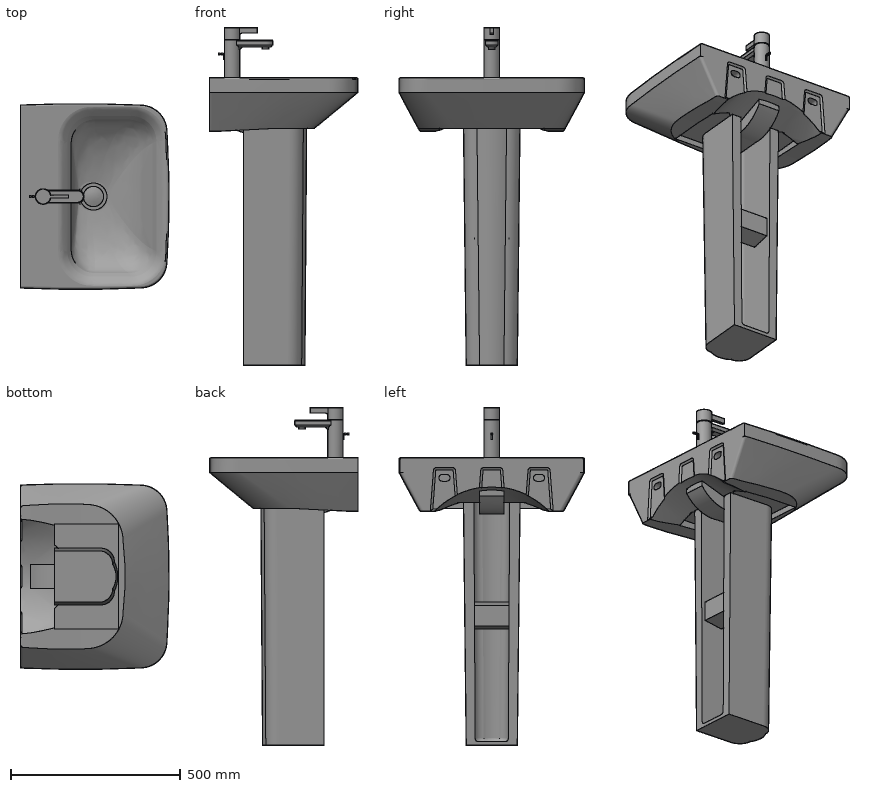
import cadquery as cq
import math


RIM_Z = 851.0
APRON_BOTTOM_Z = 807.0
BASIN_BOTTOM_Z = 692.0
BASIN_DEPTH = 439.0
BASIN_HALF_WIDTH = 275.0
APRON_CORNER = 80.0
APRON_FRONT_BOW = 6.0
APRON_SIDE_BOW = 4.0
FOOT_DEPTH = 300.0
FOOT_HALF_WIDTH = 213.0
FOOT_CORNER = 110.0
RIM_EDGE_RADIUS = 6.0
HULL_BACK_EDGE_RADIUS = 8.0
SLOPE_START_X = 30.0
SLOPE_END_X = 180.0
FRONT_UNDERSIDE_Z = 700.0

LIP_LEVEL = (RIM_Z, 112.0, 431.0, 265.0, 100.0)
ROLL_LEVEL = (846.0, 126.0, 418.0, 254.0, 90.0)
WALL_TOP_LEVEL = (832.0, 140.0, 402.0, 238.0, 75.0)
WALL_BOTTOM_LEVEL = (815.0, 150.0, 391.0, 227.0, 70.0)
BOWL_MIDDLE_LEVEL = (759.0, 160.0, 335.0, 170.0, 60.0)
BOWL_FLOOR_LEVEL = (727.0, 173.0, 259.0, 43.0, 35.0)

ARCH_HALF_WIDTH = 170.0
ARCH_TOP_Z = 765.0
HOLLOW_FRONT_HALF_WIDTH = 155.0
PEDESTAL_TOP_Z = 718.0
POCKET_FRONT_X = 290.0
RAMP_END_X = 140.0
DUCT_HALF_WIDTH = 36.0
DUCT_BACK_X = 30.0
DUCT_FRONT_X = 245.0
DUCT_TOP_Z = 774.0
DUCT_BEND_TOP_Z = 737.0
DUCT_BEND_MIDDLE = (66.0, 703.0)
DUCT_BEND_END_X = 150.0
DUCT_BOTTOM_Z = 685.0

RECESS_SPACING = 140.0
RECESS_TOP_Z = 822.0
RECESS_TOP_HALF_WIDTH = 32.0
RECESS_BOTTOM_HALF_WIDTH = 42.0
RECESS_CORNER = 10.0
RECESS_DEPTH = 4.0
RECESS_TAPER = 60.0
BOLT_SLOT_Z = 791.0
BOLT_SLOT_LENGTH = 33.0
BOLT_SLOT_DIAMETER = 20.0
BOLT_SLOT_DEPTH = 30.0

PEDESTAL_BACK_X = 100.0
PEDESTAL_TOP_FRONT_X = 288.0
PEDESTAL_BASE_FRONT_X = 283.0
PEDESTAL_TOP_HALF_WIDTH = 84.0
PEDESTAL_BASE_HALF_WIDTH = 76.0
PEDESTAL_CORNER = 40.0
PEDESTAL_FRONT_BOW = 10.0
CAVITY_TOP_HALF_WIDTH = 53.0
CAVITY_BASE_HALF_WIDTH = 49.0
CAVITY_CORNER = 26.0
CAVITY_FRONT_BOW = 5.0
FRONT_WALL = 30.0
PEDESTAL_FLOOR = 11.0
CAVITY_FLOOR_RADIUS = 10.0
BRIDGE_BACK_X = 113.0
BRIDGE_FRONT_X = 175.0
BRIDGE_MIDDLE_Z = 384.0
BRIDGE_BACK_HEIGHT = 60.0
BRIDGE_FRONT_HEIGHT = 80.0

FAUCET_X = 67.0
FAUCET_DIAMETER = 46.0
NECK_DIAMETER = 44.0
NECK_HEIGHT = 2.0
HANDLE_BASE_Z = 964.0
FAUCET_TOP_Z = 999.0
SPOUT_TOP_Z = 962.0
SPOUT_BOTTOM_Z = 941.0
SPOUT_TIP_X = 188.0
SPOUT_WIDTH = 38.0
SPOUT_TOP_CHAMFER = 2.0
SPOUT_BOTTOM_CHAMFER = 7.0
GUSSET_SIZE = 7.0
GUSSET_WIDTH = 20.0
AERATOR_X = 166.0
AERATOR_DIAMETER = 20.0
AERATOR_BOTTOM_Z = 935.0
AERATOR_SOCKET = 5.0
LEVER_TIP_X = 142.0
LEVER_WIDTH = 9.0
LEVER_HEIGHT = 16.0
LEVER_ROOT_LENGTH = 6.0
LEVER_ROOT_HEIGHT = 20.0

ROD_Z = 921.0
ROD_DIAMETER = 4.0
ROD_BACK_X = 26.0
ROD_SOCKET = 5.0
KNOB_DIAMETER = 6.0
KNOB_LENGTH = 5.0
COLLAR_X = 35.0
ROD_TAIL_LENGTH = 16.0

DRAIN_X = 216.0
FLANGE_DIAMETER = 80.0
FLANGE_THICKNESS = 6.0
PLUG_DIAMETER = 60.0
PLUG_SEAT_DEPTH = 3.0
PLUG_DOME_HEIGHT = 5.0


def rod_along_x(back_x, length, diameter):
    """Round bar on the pull rod axis."""
    return (cq.Workplane("YZ", origin=(back_x, 0, ROD_Z))
            .circle(diameter / 2).extrude(length))


def disc(center_x, bottom_z, diameter, height):
    """Upright cylinder on the symmetry plane."""
    return (cq.Workplane("XY", origin=(center_x, 0, bottom_z))
            .circle(diameter / 2).extrude(height))


def symmetric_block(profile, half_width):
    """Extrude an XZ profile equally to both sides of Y = 0."""
    return profile.extrude(half_width, both=True)


def front_rounded_outline(plane, back_x, front_x, half_width, corner, front_bow, side_bow=0.0):
    """Outline with a straight back, bowed front and two round front corners."""
    side_y = half_width - side_bow
    corner_start_x = front_x - front_bow - corner
    corner_end_x = front_x - front_bow
    corner_end_y = side_y - corner
    diagonal = corner * math.sqrt(0.5)
    corner_mid = (corner_start_x + diagonal, corner_end_y + diagonal)
    side_mid_x = (back_x + corner_start_x) / 2

    outline = plane.moveTo(back_x, -side_y)
    if side_bow:
        outline = outline.threePointArc((side_mid_x, -half_width), (corner_start_x, -side_y))
    else:
        outline = outline.lineTo(corner_start_x, -side_y)
    outline = (outline
               .threePointArc((corner_mid[0], -corner_mid[1]), (corner_end_x, -corner_end_y))
               .threePointArc((front_x, 0), (corner_end_x, corner_end_y))
               .threePointArc(corner_mid, (corner_start_x, side_y)))
    if side_bow:
        outline = outline.threePointArc((side_mid_x, half_width), (back_x, side_y))
    else:
        outline = outline.lineTo(back_x, side_y)
    return outline.close()


def bowl_section(levels, ruled):
    """Loft through rounded rectangles, one per bowl level."""
    sketches = []
    for z, back_x, front_x, half_width, corner in levels:
        sketch = cq.Sketch().rect(front_x - back_x, 2 * half_width).vertices().fillet(corner)
        sketches.append(sketch.moved(cq.Location(cq.Vector((back_x + front_x) / 2, 0, z))))
    return cq.Workplane("XY").placeSketch(*sketches).loft(ruled=ruled)


def basin_shell():
    """Apron over a hull that narrows to the foot, with a gently rising underside."""
    apron_sizes = (0, BASIN_DEPTH, BASIN_HALF_WIDTH, APRON_CORNER, APRON_FRONT_BOW, APRON_SIDE_BOW)
    foot_sizes = (0, FOOT_DEPTH, FOOT_HALF_WIDTH, FOOT_CORNER, APRON_FRONT_BOW, APRON_SIDE_BOW)
    apron_plane = cq.Workplane("XY").workplane(offset=APRON_BOTTOM_Z)
    apron = front_rounded_outline(apron_plane, *apron_sizes).extrude(RIM_Z - APRON_BOTTOM_Z)
    apron = apron.faces(">Z").edges("not <X").fillet(RIM_EDGE_RADIUS)

    foot_plane = cq.Workplane("XY").workplane(offset=BASIN_BOTTOM_Z)
    hull = front_rounded_outline(foot_plane, *foot_sizes)
    hull = hull.workplane(offset=APRON_BOTTOM_Z - BASIN_BOTTOM_Z)
    hull = front_rounded_outline(hull, *apron_sizes).loft(ruled=True)

    rise = (cq.Workplane("XZ")
            .moveTo(SLOPE_START_X, BASIN_BOTTOM_Z)
            .lineTo(SLOPE_END_X, FRONT_UNDERSIDE_Z)
            .lineTo(BASIN_DEPTH, FRONT_UNDERSIDE_Z)
            .lineTo(BASIN_DEPTH, BASIN_BOTTOM_Z)
            .close())
    hull = hull.cut(symmetric_block(rise, BASIN_HALF_WIDTH))
    hull = hull.faces("<X").edges("not |Y").fillet(HULL_BACK_EDGE_RADIUS)
    return apron.union(hull)


def underside_hollow():
    """Arch open to the back whose ceiling ramps down to the flat pedestal pocket."""
    ramp = (cq.Workplane("YZ")
            .moveTo(-ARCH_HALF_WIDTH, BASIN_BOTTOM_Z)
            .threePointArc((0, ARCH_TOP_Z), (ARCH_HALF_WIDTH, BASIN_BOTTOM_Z))
            .close()
            .workplane(offset=RAMP_END_X)
            .moveTo(-HOLLOW_FRONT_HALF_WIDTH, BASIN_BOTTOM_Z)
            .threePointArc((0, PEDESTAL_TOP_Z), (HOLLOW_FRONT_HALF_WIDTH, BASIN_BOTTOM_Z))
            .close()
            .loft(ruled=True))
    pocket = (cq.Workplane("XZ")
              .moveTo(PEDESTAL_BACK_X, BASIN_BOTTOM_Z)
              .lineTo(PEDESTAL_BACK_X, PEDESTAL_TOP_Z)
              .lineTo(POCKET_FRONT_X, PEDESTAL_TOP_Z)
              .lineTo(POCKET_FRONT_X, BASIN_BOTTOM_Z)
              .close())
    return ramp.union(symmetric_block(pocket, HOLLOW_FRONT_HALF_WIDTH))


def overflow_duct():
    """Duct that drops from the arch ceiling and bends forward below the drain."""
    profile = (cq.Workplane("XZ")
               .moveTo(DUCT_BACK_X, DUCT_TOP_Z)
               .lineTo(DUCT_BACK_X, DUCT_BEND_TOP_Z)
               .threePointArc(DUCT_BEND_MIDDLE, (DUCT_BEND_END_X, DUCT_BOTTOM_Z))
               .lineTo(DUCT_FRONT_X, DUCT_BOTTOM_Z)
               .lineTo(DUCT_FRONT_X, DUCT_TOP_Z)
               .close())
    return symmetric_block(profile, DUCT_HALF_WIDTH)


def back_recess(center_y):
    """Shallow tapered recess in the back face, open at the bottom."""
    outline = cq.Sketch().polygon([
        (center_y - RECESS_BOTTOM_HALF_WIDTH, BASIN_BOTTOM_Z),
        (center_y - RECESS_TOP_HALF_WIDTH, RECESS_TOP_Z),
        (center_y + RECESS_TOP_HALF_WIDTH, RECESS_TOP_Z),
        (center_y + RECESS_BOTTOM_HALF_WIDTH, BASIN_BOTTOM_Z),
        (center_y - RECESS_BOTTOM_HALF_WIDTH, BASIN_BOTTOM_Z),
    ])
    outline = outline.vertices(">Y").fillet(RECESS_CORNER)
    return cq.Workplane("YZ").placeSketch(outline).extrude(RECESS_DEPTH, taper=RECESS_TAPER)


def bolt_slot(center_y):
    """Horizontal slot for a wall bolt."""
    return (cq.Workplane("YZ")
            .center(center_y, BOLT_SLOT_Z)
            .slot2D(BOLT_SLOT_LENGTH, BOLT_SLOT_DIAMETER)
            .extrude(BOLT_SLOT_DEPTH))


def make_basin():
    basin = basin_shell().cut(underside_hollow()).union(overflow_duct())
    basin = basin.cut(bowl_section([LIP_LEVEL, ROLL_LEVEL, WALL_TOP_LEVEL], ruled=False))
    basin = basin.cut(bowl_section([WALL_TOP_LEVEL, WALL_BOTTOM_LEVEL], ruled=True))
    basin = basin.cut(bowl_section([WALL_BOTTOM_LEVEL, BOWL_MIDDLE_LEVEL, BOWL_FLOOR_LEVEL], ruled=False))
    for center_y in (-RECESS_SPACING, 0, RECESS_SPACING):
        basin = basin.cut(back_recess(center_y))
    for center_y in (-RECESS_SPACING, RECESS_SPACING):
        basin = basin.cut(bolt_slot(center_y))
    flange_seat = disc(DRAIN_X, BOWL_FLOOR_LEVEL[0] - FLANGE_THICKNESS, FLANGE_DIAMETER, FLANGE_THICKNESS)
    return basin.cut(flange_seat)


def make_pedestal():
    """Tapered column, open at the back and top, with a bridge between its side walls."""
    column = front_rounded_outline(cq.Workplane("XY"), PEDESTAL_BACK_X, PEDESTAL_BASE_FRONT_X,
                                   PEDESTAL_BASE_HALF_WIDTH, PEDESTAL_CORNER, PEDESTAL_FRONT_BOW)
    column = column.workplane(offset=PEDESTAL_TOP_Z)
    column = front_rounded_outline(column, PEDESTAL_BACK_X, PEDESTAL_TOP_FRONT_X,
                                   PEDESTAL_TOP_HALF_WIDTH, PEDESTAL_CORNER, PEDESTAL_FRONT_BOW)
    column = column.loft(ruled=True)

    cavity = cq.Workplane("XY").workplane(offset=PEDESTAL_FLOOR)
    cavity = front_rounded_outline(cavity, PEDESTAL_BACK_X, PEDESTAL_BASE_FRONT_X - FRONT_WALL,
                                   CAVITY_BASE_HALF_WIDTH, CAVITY_CORNER, CAVITY_FRONT_BOW)
    cavity = cavity.workplane(offset=PEDESTAL_TOP_Z - PEDESTAL_FLOOR)
    cavity = front_rounded_outline(cavity, PEDESTAL_BACK_X, PEDESTAL_TOP_FRONT_X - FRONT_WALL,
                                   CAVITY_TOP_HALF_WIDTH, CAVITY_CORNER, CAVITY_FRONT_BOW)
    cavity = cavity.loft(ruled=True)
    cavity = cavity.faces("<Z").edges("not <X").fillet(CAVITY_FLOOR_RADIUS)

    bridge = (cq.Workplane("XZ")
              .moveTo(BRIDGE_BACK_X, BRIDGE_MIDDLE_Z - BRIDGE_BACK_HEIGHT / 2)
              .lineTo(BRIDGE_BACK_X, BRIDGE_MIDDLE_Z + BRIDGE_BACK_HEIGHT / 2)
              .lineTo(BRIDGE_FRONT_X, BRIDGE_MIDDLE_Z + BRIDGE_FRONT_HEIGHT / 2)
              .lineTo(BRIDGE_FRONT_X, BRIDGE_MIDDLE_Z - BRIDGE_FRONT_HEIGHT / 2)
              .close())
    bridge_half_width = (PEDESTAL_BASE_HALF_WIDTH + CAVITY_BASE_HALF_WIDTH) / 2
    return column.cut(cavity).union(symmetric_block(bridge, bridge_half_width))


def make_pull_rod():
    """Thin rod with an end knob, a collar and a short tail hanging at the faucet."""
    faucet_back_x = FAUCET_X - FAUCET_DIAMETER / 2
    rod = rod_along_x(ROD_BACK_X, faucet_back_x + ROD_SOCKET - ROD_BACK_X, ROD_DIAMETER)
    for knob_x in (ROD_BACK_X, COLLAR_X):
        rod = rod.union(rod_along_x(knob_x, KNOB_LENGTH, KNOB_DIAMETER))
    tail = disc(faucet_back_x, ROD_Z - ROD_TAIL_LENGTH, ROD_DIAMETER, ROD_TAIL_LENGTH)
    return rod.union(tail)


def make_spout():
    """Flat bar with a round tip, bevelled underneath, and a gusset below its root."""
    tip_radius = SPOUT_WIDTH / 2
    spout = (cq.Workplane("XY", origin=(0, 0, SPOUT_BOTTOM_Z))
             .moveTo(FAUCET_X, -tip_radius)
             .lineTo(SPOUT_TIP_X - tip_radius, -tip_radius)
             .threePointArc((SPOUT_TIP_X, 0), (SPOUT_TIP_X - tip_radius, tip_radius))
             .lineTo(FAUCET_X, tip_radius)
             .close()
             .extrude(SPOUT_TOP_Z - SPOUT_BOTTOM_Z))
    spout = spout.faces("<Z").edges("not <X").chamfer(SPOUT_BOTTOM_CHAMFER)
    spout = spout.faces(">Z").edges("not <X").chamfer(SPOUT_TOP_CHAMFER)
    faucet_front_x = FAUCET_X + FAUCET_DIAMETER / 2
    gusset = (cq.Workplane("XZ")
              .moveTo(FAUCET_X, SPOUT_BOTTOM_Z)
              .lineTo(FAUCET_X, SPOUT_BOTTOM_Z - GUSSET_SIZE)
              .lineTo(faucet_front_x, SPOUT_BOTTOM_Z - GUSSET_SIZE)
              .lineTo(faucet_front_x + GUSSET_SIZE, SPOUT_BOTTOM_Z)
              .close())
    return spout.union(symmetric_block(gusset, GUSSET_WIDTH / 2))


def make_aerator():
    top_z = SPOUT_BOTTOM_Z + AERATOR_SOCKET
    return disc(AERATOR_X, AERATOR_BOTTOM_Z, AERATOR_DIAMETER, top_z - AERATOR_BOTTOM_Z)


def make_faucet(aerator, pull_rod):
    """Upright body with a reduced neck and the spout, with sockets for aerator and rod."""
    neck_z = HANDLE_BASE_Z - NECK_HEIGHT
    faucet = disc(FAUCET_X, RIM_Z, FAUCET_DIAMETER, neck_z - RIM_Z)
    faucet = faucet.union(disc(FAUCET_X, neck_z, NECK_DIAMETER, NECK_HEIGHT))
    return faucet.union(make_spout()).cut(aerator).cut(pull_rod)


def make_handle():
    """Round cap with a flat lever pointing forward."""
    cap = disc(FAUCET_X, HANDLE_BASE_Z, FAUCET_DIAMETER, FAUCET_TOP_Z - HANDLE_BASE_Z)
    root_x = FAUCET_X + FAUCET_DIAMETER / 2 + LEVER_ROOT_LENGTH
    lever_bottom_z = FAUCET_TOP_Z - LEVER_HEIGHT
    profile = (cq.Workplane("XZ")
               .moveTo(FAUCET_X, FAUCET_TOP_Z)
               .lineTo(LEVER_TIP_X, FAUCET_TOP_Z)
               .lineTo(LEVER_TIP_X, lever_bottom_z)
               .lineTo(root_x, lever_bottom_z)
               .lineTo(root_x - LEVER_ROOT_LENGTH, FAUCET_TOP_Z - LEVER_ROOT_HEIGHT)
               .lineTo(FAUCET_X, FAUCET_TOP_Z - LEVER_ROOT_HEIGHT)
               .close())
    return cap.union(symmetric_block(profile, LEVER_WIDTH / 2))


def make_drain_flange():
    """Round flange flush with the bowl floor, with a shallow seat for the plug."""
    floor_z = BOWL_FLOOR_LEVEL[0]
    flange = disc(DRAIN_X, floor_z - FLANGE_THICKNESS, FLANGE_DIAMETER, FLANGE_THICKNESS)
    return flange.cut(disc(DRAIN_X, floor_z - PLUG_SEAT_DEPTH, PLUG_DIAMETER, PLUG_SEAT_DEPTH))


def make_drain_plug():
    """Domed disc, revolved about the drain axis."""
    floor_z = BOWL_FLOOR_LEVEL[0]
    radius = PLUG_DIAMETER / 2
    dome_radius = (radius ** 2 + PLUG_DOME_HEIGHT ** 2) / (2 * PLUG_DOME_HEIGHT)
    half_span = radius / 2
    sag = dome_radius - math.sqrt(dome_radius ** 2 - half_span ** 2)
    return (cq.Workplane("XZ", origin=(DRAIN_X, 0, floor_z))
            .moveTo(0, -PLUG_SEAT_DEPTH)
            .lineTo(radius, -PLUG_SEAT_DEPTH)
            .lineTo(radius, 0)
            .threePointArc((half_span, PLUG_DOME_HEIGHT - sag), (0, PLUG_DOME_HEIGHT))
            .close()
            .revolve(360, (0, 0, 0), (0, 1, 0)))


drain_flange = make_drain_flange()
drain_plug = make_drain_plug()
basin = make_basin()
pedestal = make_pedestal()
pull_rod = make_pull_rod()
aerator = make_aerator()
faucet = make_faucet(aerator, pull_rod)
handle = make_handle()

result = cq.Compound.makeCompound([
    basin.val(),
    pedestal.val(),
    faucet.val(),
    handle.val(),
    aerator.val(),
    pull_rod.val(),
    drain_flange.val(),
    drain_plug.val(),
])